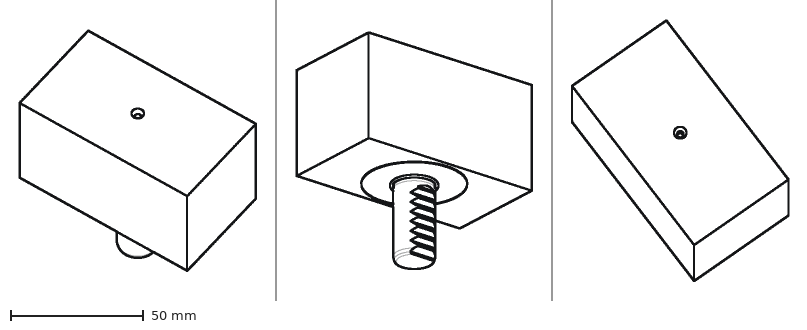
import cadquery as cq
import math


block_length = 78.0
block_width = 44.0
block_top = 44.0

disc_diameter = 39.9
disc_height = 0.3

shank_diameter = 16.0
shank_radius = shank_diameter / 2
shank_length = 32.0
neck_radius = 7.7
neck_start = 1.0
neck_end = 2.2
end_taper_length = 2.0
end_taper_inset = 0.55
end_round = 0.9

tooth_pitch = 4.0
notch_count = 6
first_notch_depth = 6.95
notch_root_y = 5.4
end_flat_y = 5.0
tooth_crest_y = 7.1
top_flat_height = 2.5

countersink_diameter = 4.7
countersink_angle = 60.0
pilot_diameter = 2.5
pilot_depth = 4.45
drill_tip_angle = 120.0

ring_outer_radius = 9.1
ring_section_radius = 0.55


def make_block():
    block_bottom = disc_height
    block = (
        cq.Workplane("XY", origin=(0, 0, block_bottom))
        .rect(block_length, block_width)
        .extrude(block_top - block_bottom)
    )
    disc = cq.Workplane("XY").circle(disc_diameter / 2).extrude(disc_height)
    return block.union(disc)


def make_shank():
    """Turned shank with a reduced neck and a tapered, rounded end."""
    tip_radius = shank_radius - end_taper_inset
    shank = (
        cq.Workplane("XZ")
        .moveTo(0, disc_height)
        .lineTo(neck_radius, disc_height)
        .lineTo(neck_radius, -neck_start)
        .lineTo(shank_radius, -neck_end)
        .lineTo(shank_radius, end_taper_length - shank_length)
        .lineTo(tip_radius, -shank_length)
        .lineTo(0, -shank_length)
        .close()
        .revolve(360, (0, 0, 0), (0, 1, 0))
    )
    return shank.faces("<Z").edges().fillet(end_round)


def make_tooth_cutter():
    """Prism across X that clears the crest flat and the row of 90 degree notches.

    Below the last tooth a 45 degree flank runs down to the end flat.
    """
    crest_height = tooth_crest_y - notch_root_y
    clear_y = shank_diameter
    first_root_z = -first_notch_depth
    flat_top_z = top_flat_height - first_notch_depth
    points = [(clear_y, flat_top_z + clear_y - tooth_crest_y), (tooth_crest_y, flat_top_z)]
    for index in range(notch_count):
        root_z = first_root_z - index * tooth_pitch
        points.append((tooth_crest_y, root_z + crest_height))
        points.append((notch_root_y, root_z))
        points.append((tooth_crest_y, root_z - crest_height))
    last_crest_z = first_root_z - notch_count * tooth_pitch + crest_height
    points.append((tooth_crest_y, last_crest_z))
    points.append((end_flat_y, last_crest_z - (tooth_crest_y - end_flat_y)))
    points.append((end_flat_y, -shank_length))
    points.append((clear_y, -shank_length))
    return cq.Workplane("YZ").polyline(points).close().extrude(shank_radius, both=True)


def make_centre_hole():
    """Countersunk pilot hole with a conical drill tip."""
    pilot_radius = pilot_diameter / 2
    sink_radius = countersink_diameter / 2
    sink_depth = (sink_radius - pilot_radius) / math.tan(math.radians(countersink_angle / 2))
    tip_depth = pilot_radius / math.tan(math.radians(drill_tip_angle / 2))
    return (
        cq.Workplane("XZ")
        .moveTo(0, block_top)
        .lineTo(sink_radius, block_top)
        .lineTo(pilot_radius, block_top - sink_depth)
        .lineTo(pilot_radius, block_top - pilot_depth)
        .lineTo(0, block_top - pilot_depth - tip_depth)
        .close()
        .revolve(360, (0, 0, 0), (0, 1, 0))
    )


def make_sealing_ring():
    centre_radius = ring_outer_radius - ring_section_radius
    centre = cq.Vector(0, 0, -ring_section_radius)
    return cq.Workplane(cq.Solid.makeTorus(centre_radius, ring_section_radius, centre))


def make_holder():
    toothed_shank = make_shank().cut(make_tooth_cutter())
    return make_block().union(toothed_shank).cut(make_centre_hole())


holder = make_holder()
sealing_ring = make_sealing_ring()

result = cq.Compound.makeCompound([holder.solids().val(), sealing_ring.val()])